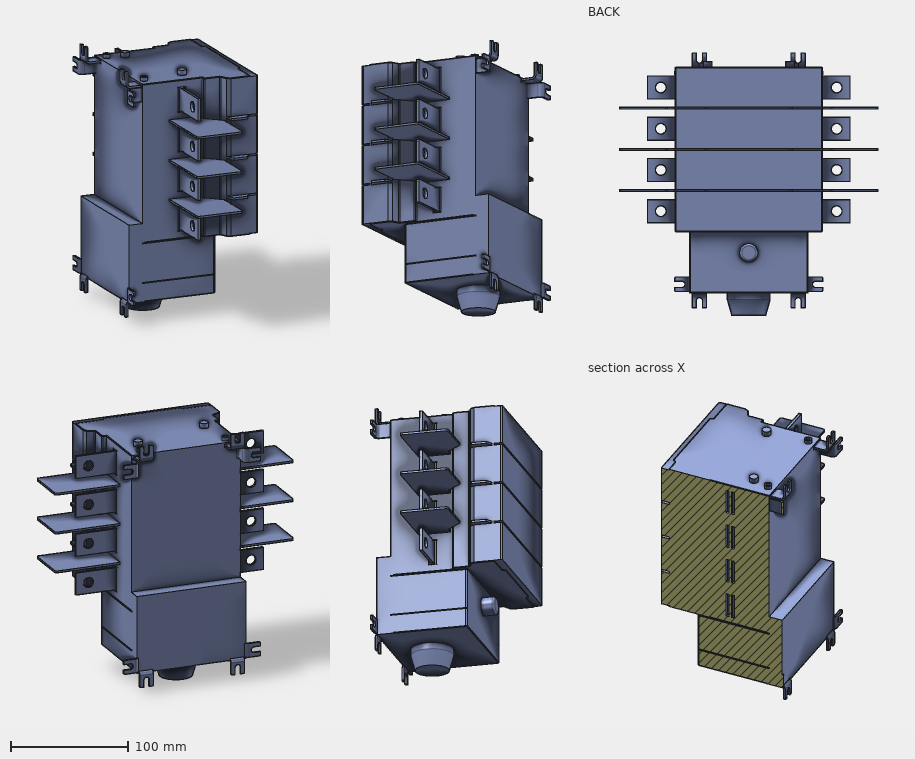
import cadquery as cq


total_height = 223.8
total_depth = 116.5
total_width = 220.0

pole_count = 4
pole_pitch = 35.1
body_top = 211.7
body_rear = 14.3
pole_bottom = body_top - pole_count * pole_pitch
body_half_width = 50.4
cover_half_width = 62.9
end_chamfer = 0.7

shoulder_half_width = 54.4
shoulder_y = 70.0
shoulder_chamfer = 1.0
slope_start_y = 85.3
slope_end_half_width = 61.0
slope_end_y = 88.2
cover_side_y = 91.5
cover_edge_depth = 1.5
cover_edge_inset = 0.7

relief_depth = 0.78
relief_y = 109.2
relief_centre_y = 112.1
relief_slope_inner = 35.4
relief_slope_outer = 37.4

housing_bottom = 19.0
housing_rear = 1.8
housing_front = 82.1
rear_step_z = 88.5
seam_width = 0.7
seam_depth = 0.5

coupling_y = 37.0
coupling_radius = 18.4
coupling_tip_radius = 14.5
coupling_cone_height = 13.5
button_z = 53.3
button_radius = 7.8
button_end_y = 94.0
button_fillet = 2.0

terminal_end = 86.4
terminal_width = 20.0
terminal_thickness = 2.5
terminal_y = 51.3
terminal_hole_x = 75.0
terminal_hole_diameter = 9.0
terminal_flare = 1.1
slot_thickness = 7.4
slot_width = terminal_width + 2 * terminal_flare
slot_depth = 2.2

barrier_thickness = 1.8
barrier_rear = 39.2
barrier_root_front = 67.4
barrier_slope_inner = 57.5
barrier_slope_outer = 71.2
barrier_front = 81.5
barrier_corner = 2.0
wing_half_width = 69.4
wing_side_rear = 91.0
wing_side_front = 103.8
wing_front = 108.5
wing_corner_x = 66.7
wing_corner_y = 89.5

pin_radius = 3.8
pin_height = 4.5
pin_places = [(35.0, 58.2), (-35.1, 36.3)]
screw_radius = 3.1
screw_height = 3.4
screw_x = 39.2
screw_y = 20.8
socket_radius = 1.8
socket_depth = 2.2

bracket_thickness = 1.8
bracket_width = 12.5
bracket_reach = 13.2
bracket_foot_bend = 2.2
bracket_flange_bend = 1.3
bracket_flange = 2.2
bracket_slot_width = 5.1
bracket_slot_length = 8.7
bracket_tip_radius = 1.1
bracket_x = 42.0
bracket_inset = 0.5
side_bracket_heights = [202.5, 26.5]

overlap = 2.2


def box(x0, x1, y0, y1, z0, z1):
    return cq.Workplane("XY").box(x1 - x0, y1 - y0, z1 - z0, centered=False).translate((x0, y0, z0))


def plate(points, z0, thickness):
    return cq.Workplane("XY").workplane(offset=z0).polyline(points).close().extrude(thickness)


def both_sides(shape):
    return shape.union(shape.mirror("YZ"))


def mirrored_outline(right_side):
    return right_side + [(-x, y) for x, y in reversed(right_side)]


def chamfer_ends(body, end_faces):
    """Bevel the chosen end faces all round, leaving their rear edge sharp."""
    edges = [
        edge for edge in body.faces(end_faces).edges().vals()
        if edge.Center().y > body_rear + overlap
    ]
    return body.newObject(edges).chamfer(end_chamfer)


def pole_body():
    outline = mirrored_outline([
        (body_half_width, body_rear),
        (body_half_width, shoulder_y),
        (shoulder_half_width - shoulder_chamfer, shoulder_y),
        (shoulder_half_width, shoulder_y + shoulder_chamfer),
        (shoulder_half_width, slope_start_y - shoulder_chamfer),
        (shoulder_half_width + shoulder_chamfer, slope_start_y),
        (slope_end_half_width, slope_end_y),
        (cover_half_width, cover_side_y),
        (cover_half_width, total_depth - cover_edge_depth),
        (cover_half_width - cover_edge_inset, total_depth),
    ])
    body = plate(outline, pole_bottom, body_top - pole_bottom)
    return chamfer_ends(body, "|Z")


def cover_reliefs():
    """Shallow gaps at both ends of every pole cover, reaching less far back across the centre."""
    outline = mirrored_outline([
        (relief_slope_inner, relief_centre_y),
        (relief_slope_outer, relief_y),
        (cover_half_width + overlap, relief_y),
        (cover_half_width + overlap, total_depth + overlap),
    ])
    gaps = cq.Workplane("XY")
    for joint in range(pole_count + 1):
        joint_z = pole_bottom + joint * pole_pitch
        gaps = gaps.union(plate(outline, joint_z - relief_depth, 2 * relief_depth))
    return gaps


def housing():
    outline = mirrored_outline([
        (body_half_width, body_rear),
        (body_half_width, housing_front - cover_edge_depth),
        (body_half_width - cover_edge_inset, housing_front),
    ])
    front = chamfer_ends(plate(outline, housing_bottom, pole_bottom - housing_bottom), "<Z")
    rear = box(-body_half_width, body_half_width, housing_rear, body_rear + overlap, housing_bottom, rear_step_z)
    return front.union(rear)


def side_seams():
    """Fine joint lines on both sides of the housing, one pole pitch apart."""
    seams = cq.Workplane("XY")
    for seam_z in (pole_bottom, pole_bottom - pole_pitch):
        seams = seams.union(box(
            body_half_width - seam_depth, body_half_width + overlap,
            body_rear, housing_front + overlap,
            seam_z - seam_width, seam_z,
        ))
    return both_sides(seams)


def coupling():
    return (
        cq.Workplane("XZ", origin=(0, coupling_y, 0))
        .polyline([
            (0, 0),
            (coupling_tip_radius, 0),
            (coupling_radius, coupling_cone_height),
            (coupling_radius, housing_bottom + overlap),
            (0, housing_bottom + overlap),
        ])
        .close()
        .revolve(360, (0, 0, 0), (0, 1, 0))
    )


def push_button():
    return (
        cq.Workplane("XZ", origin=(0, button_end_y, button_z))
        .circle(button_radius)
        .extrude(button_end_y - housing_front + overlap)
        .faces(">Y").edges().fillet(button_fillet)
    )


def pole_centres():
    return [pole_bottom + (pole + 0.5) * pole_pitch for pole in range(pole_count)]


def terminal_slots():
    slots = cq.Workplane("XY")
    for z in pole_centres():
        slots = slots.union(
            cq.Workplane("XY")
            .box(2 * slot_depth, slot_thickness, slot_width)
            .translate((body_half_width, terminal_y, z))
        )
    return both_sides(slots)


def terminals():
    """Flat blades with a fixing hole, flaring to the slot width where they meet the body."""
    half_width = terminal_width / 2
    root_x = body_half_width - slot_depth - overlap
    bars = cq.Workplane("XY")
    for z in pole_centres():
        bar = (
            cq.Workplane("XZ", origin=(0, terminal_y + terminal_thickness / 2, z))
            .polyline([
                (root_x, -slot_width / 2),
                (body_half_width, -slot_width / 2),
                (body_half_width + terminal_flare, -half_width),
                (terminal_end, -half_width),
                (terminal_end, half_width),
                (body_half_width + terminal_flare, half_width),
                (body_half_width, slot_width / 2),
                (root_x, slot_width / 2),
            ])
            .close()
            .moveTo(terminal_hole_x, 0)
            .circle(terminal_hole_diameter / 2)
            .extrude(terminal_thickness)
        )
        bars = bars.union(bar)
    return both_sides(bars)


def barriers():
    """Plates between neighbouring poles, with a small wing beside the front cover."""
    root_x = body_half_width - overlap
    outer_x = total_width / 2
    plate_outline = [
        (root_x, barrier_rear),
        (outer_x, barrier_rear),
        (outer_x, barrier_front),
        (barrier_slope_outer, barrier_front),
        (barrier_slope_inner, barrier_root_front),
        (root_x, barrier_root_front),
    ]
    wing_outline = [
        (slope_end_half_width, slope_end_y),
        (wing_corner_x, wing_corner_y),
        (wing_half_width, wing_side_rear),
        (wing_half_width, wing_side_front),
        (slope_end_half_width, wing_front),
    ]
    plates = cq.Workplane("XY")
    for joint in range(1, pole_count):
        z = pole_bottom + joint * pole_pitch - barrier_thickness / 2
        barrier = plate(plate_outline, z, barrier_thickness)
        barrier = barrier.edges("|Z and >X").fillet(barrier_corner)
        plates = plates.union(barrier).union(plate(wing_outline, z, barrier_thickness))
    return both_sides(plates)


def top_pins():
    return (
        cq.Workplane("XY", origin=(0, 0, body_top - overlap))
        .pushPoints(pin_places)
        .circle(pin_radius)
        .extrude(pin_height + overlap)
    )


def top_screws():
    places = [(-screw_x, screw_y), (screw_x, screw_y)]
    return (
        cq.Workplane("XY", origin=(0, 0, body_top - overlap))
        .pushPoints(places)
        .circle(screw_radius)
        .extrude(screw_height + overlap)
        .faces(">Z").workplane(origin=(0, 0, 0))
        .pushPoints(places)
        .hole(2 * socket_radius, socket_depth)
    )


def bracket():
    """Folded strip centred on z = 0.

    The leg's outer face is at x = 0, the slotted foot points to +X, and the
    flange at the other end of the leg turns inward to lie inside the body.
    """
    flange_front = body_rear + bracket_thickness
    flange_end = -bracket_thickness - bracket_flange
    strip = (
        plate([
            (-bracket_thickness, 0),
            (bracket_reach, 0),
            (bracket_reach, bracket_thickness),
            (0, bracket_thickness),
            (0, flange_front),
            (flange_end, flange_front),
            (flange_end, body_rear),
            (-bracket_thickness, body_rear),
        ], -bracket_width / 2, bracket_width)
        .edges("|Y and >X").fillet(bracket_tip_radius)
    )
    bends = [
        ((0, bracket_thickness, 0), bracket_foot_bend),
        ((-bracket_thickness, 0, 0), bracket_foot_bend + bracket_thickness),
        ((-bracket_thickness, body_rear, 0), bracket_flange_bend),
        ((0, flange_front, 0), bracket_flange_bend + bracket_thickness),
    ]
    for corner, radius in bends:
        strip = strip.edges("|Z").edges(cq.NearestToPointSelector(corner)).fillet(radius)
    slot = (
        cq.Workplane("XZ", origin=(bracket_reach, 0, 0))
        .slot2D(2 * bracket_slot_length, bracket_slot_width)
        .extrude(bracket_thickness + overlap, both=True)
    )
    return strip.cut(slot)


def brackets():
    turn_axis = ((0, 0, 0), (0, 1, 0))
    side = bracket().translate((body_half_width - bracket_inset, 0, 0))
    up = bracket().rotate(*turn_axis, -90)
    down = bracket().rotate(*turn_axis, 90)
    group = up.translate((bracket_x, 0, total_height - bracket_reach))
    group = group.union(down.translate((bracket_x, 0, housing_bottom + bracket_inset)))
    for z in side_bracket_heights:
        group = group.union(side.translate((0, 0, z)))
    return both_sides(group)


result = (
    pole_body()
    .cut(cover_reliefs())
    .union(housing())
    .cut(side_seams())
    .cut(terminal_slots())
    .union(terminals())
    .union(barriers())
    .union(coupling())
    .union(push_button())
    .union(top_pins())
    .union(top_screws())
    .union(brackets())
)